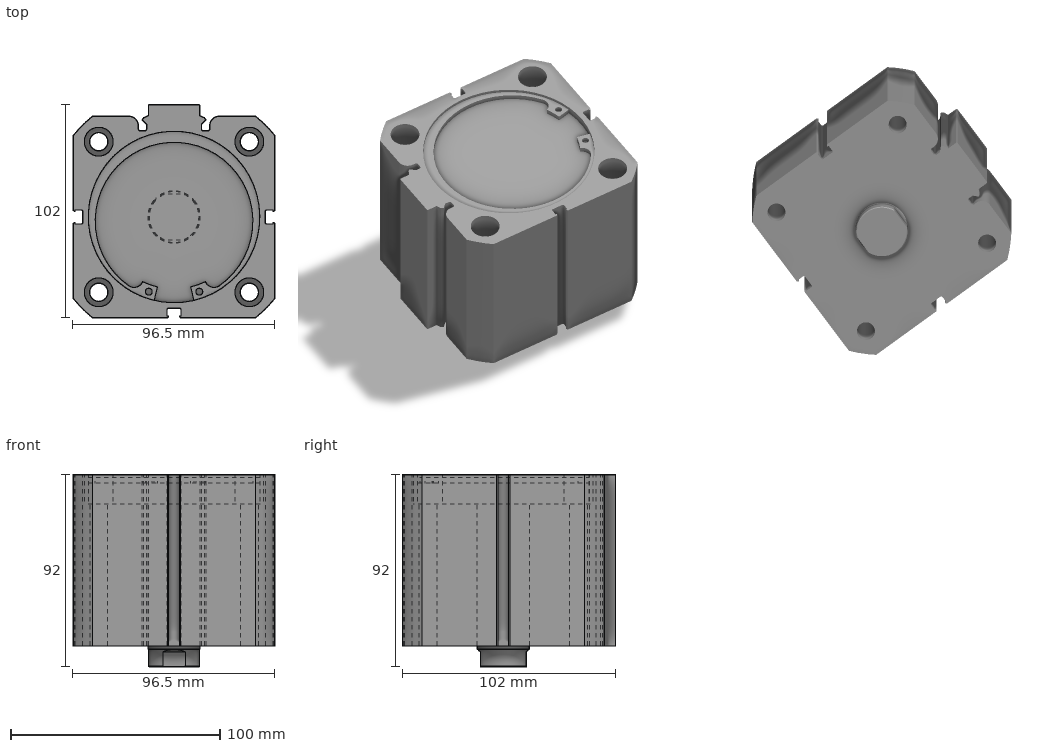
import cadquery as cq
import math

BODY_WIDTH = 96.5
BODY_HEIGHT = 82.0
CORNER_RADIUS = 62.0

RAIL_TOP = 53.75
RAIL_HALF_WIDTH = 12.3
RAIL_EDGE_RADIUS = 0.6
LIP_ROOT_Y = 48.5
LIP_UPPER_X = 14.5
LIP_UPPER_Y = 47.5
LIP_TIP_X = 15.3
LIP_TIP_Y = 46.4
RAIL_NECK_HALF_WIDTH = 13.15
RAIL_GROOVE_OUTER_X = 17.0
RAIL_GROOVE_FLOOR = 41.25
RAIL_GROOVE_CORNER_RADIUS = 0.8
GROOVE_FLOOR_MARGIN = 1.0
RAIL_SHOULDER_RADIUS = 4.75

SLOT_DEPTH = 4.6
SLOT_WIDTH = 6.6
SLOT_MOUTH_WIDTH = 5.2
SLOT_LIP = 1.0
SLOT_MOUTH_CHAMFER = 0.6
SLOT_CORNER_RADIUS = 0.6

BOLT_PITCH = 72.0
BOLT_HOLE_DIAMETER = 8.6
BOLT_SEAT_DIAMETER = 13.8
BOLT_SEAT_DEPTH = 14.0

BORE_DIAMETER = 82.0
RING_RECESS = 1.5
RING_THICKNESS = 2.5
RING_INNER_RADIUS = 37.7
RING_INNER_OFFSET = 2.0
LUG_INNER_RADIUS = 34.35
LUG_GAP_ANGLE = 13.4
LUG_HOLE_DIAMETER = 3.3
LUG_HOLE_ANGLE = 18.7
LUG_HOLE_PITCH_RADIUS = 37.7
LUG_HOLLOW_RADIUS = 4.4
LUG_HOLLOW_ANGLE = 35.0
GAP_OVERRUN = 3.0

COVER_THICKNESS = 10.0

ROD_DIAMETER = 25.0
ROD_TIP_DIAMETER = 24.5
ROD_PROJECTION = 10.0
ROD_SHOULDER_Z = -1.35
ROD_TIP_CHAMFER = 0.4
ROD_FLATS = 22.0

HALF_WIDTH = BODY_WIDTH / 2
BORE_RADIUS = BORE_DIAMETER / 2
RING_TOP = BODY_HEIGHT - RING_RECESS
COVER_TOP = RING_TOP - RING_THICKNESS
COVER_BOTTOM = COVER_TOP - COVER_THICKNESS
ROD_TAPER = (ROD_DIAMETER - ROD_TIP_DIAMETER) / 2
TAPER_END_Z = ROD_SHOULDER_Z - ROD_TAPER


def polar(radius, angle):
    """Point at an angle in degrees, measured from -Y toward +X."""
    turn = math.radians(angle)
    return radius * math.sin(turn), -radius * math.cos(turn)


def mirrored(point):
    """Mirror image of a point across the YZ plane."""
    return -point[0], point[1]


def cylinder(diameter, bottom, top):
    return cq.Workplane("XY").workplane(offset=bottom).circle(diameter / 2).extrude(top - bottom)


def block():
    """Square block whose corners follow a large circle about the bore axis."""
    square = cq.Workplane("XY").rect(BODY_WIDTH, BODY_WIDTH).extrude(BODY_HEIGHT)
    return square.intersect(cylinder(2 * CORNER_RADIUS, 0, BODY_HEIGHT))


def rail_clearance():
    """Room around the port rail: its two side grooves and the shoulders beside them."""
    shoulder_x = RAIL_GROOVE_OUTER_X + RAIL_SHOULDER_RADIUS
    shoulder_y = HALF_WIDTH - RAIL_SHOULDER_RADIUS
    diagonal = RAIL_SHOULDER_RADIUS * math.sqrt(0.5)
    shoulder_mid = (shoulder_x - diagonal, shoulder_y + diagonal)
    return (
        cq.Workplane("XY")
        .moveTo(0, RAIL_GROOVE_FLOOR)
        .lineTo(RAIL_GROOVE_OUTER_X, RAIL_GROOVE_FLOOR)
        .lineTo(RAIL_GROOVE_OUTER_X, shoulder_y)
        .threePointArc(shoulder_mid, (shoulder_x, HALF_WIDTH))
        .lineTo(0, HALF_WIDTH)
        .mirrorY()
        .extrude(BODY_HEIGHT)
    )


def port_rail():
    """Rail with a flared lip on each flank."""
    return (
        cq.Workplane("XY")
        .moveTo(0, RAIL_GROOVE_FLOOR)
        .lineTo(RAIL_NECK_HALF_WIDTH, RAIL_GROOVE_FLOOR)
        .lineTo(RAIL_NECK_HALF_WIDTH, LIP_TIP_Y - (LIP_TIP_X - RAIL_NECK_HALF_WIDTH))
        .lineTo(LIP_TIP_X, LIP_TIP_Y)
        .lineTo(LIP_UPPER_X, LIP_UPPER_Y)
        .lineTo(RAIL_HALF_WIDTH, LIP_ROOT_Y)
        .lineTo(RAIL_HALF_WIDTH, RAIL_TOP)
        .lineTo(0, RAIL_TOP)
        .mirrorY()
        .extrude(BODY_HEIGHT)
        .edges("|Z and >Y")
        .fillet(RAIL_EDGE_RADIUS)
    )


def sensor_slot(angle):
    """Undercut slot in the -Y face, turned about Z to another face."""
    pocket_depth = SLOT_DEPTH - SLOT_LIP
    pocket = (
        cq.Workplane("XY")
        .center(0, -HALF_WIDTH + SLOT_LIP + pocket_depth / 2)
        .rect(SLOT_WIDTH, pocket_depth)
        .extrude(BODY_HEIGHT)
        .edges("|Z and >Y")
        .fillet(SLOT_CORNER_RADIUS)
    )
    mouth_half_width = SLOT_MOUTH_WIDTH / 2
    mouth = (
        cq.Workplane("XY")
        .moveTo(0, -HALF_WIDTH)
        .lineTo(mouth_half_width + SLOT_MOUTH_CHAMFER, -HALF_WIDTH)
        .lineTo(mouth_half_width, -HALF_WIDTH + SLOT_MOUTH_CHAMFER)
        .lineTo(mouth_half_width, -HALF_WIDTH + SLOT_DEPTH / 2)
        .lineTo(0, -HALF_WIDTH + SLOT_DEPTH / 2)
        .mirrorY()
        .extrude(BODY_HEIGHT)
    )
    return pocket.union(mouth).rotate((0, 0, 0), (0, 0, 1), angle)


def round_groove_corners(housing):
    """Fillet the bottom corners of the two grooves beside the rail."""
    reach = RAIL_GROOVE_OUTER_X + GROOVE_FLOOR_MARGIN
    groove_floors = cq.selectors.BoxSelector(
        (-reach, RAIL_GROOVE_FLOOR - GROOVE_FLOOR_MARGIN, 0),
        (reach, RAIL_GROOVE_FLOOR + GROOVE_FLOOR_MARGIN, BODY_HEIGHT),
    )
    return housing.edges(groove_floors).edges("|Z").fillet(RAIL_GROOVE_CORNER_RADIUS)


def make_housing():
    housing = block().cut(rail_clearance()).union(port_rail())
    housing = round_groove_corners(housing)
    for angle in (-90, 0, 90):
        housing = housing.cut(sensor_slot(angle))
    housing = (
        housing.faces(">Z")
        .workplane(origin=(0, 0, BODY_HEIGHT))
        .rect(BOLT_PITCH, BOLT_PITCH, forConstruction=True)
        .vertices()
        .cboreHole(BOLT_HOLE_DIAMETER, BOLT_SEAT_DIAMETER, BOLT_SEAT_DEPTH)
    )
    housing = housing.cut(cylinder(BORE_DIAMETER, COVER_BOTTOM, BODY_HEIGHT))
    return housing.cut(cylinder(ROD_DIAMETER, 0, COVER_BOTTOM))


def make_cover():
    return cylinder(BORE_DIAMETER, COVER_BOTTOM, COVER_TOP)


def ring_opening():
    """Clear space inside the ring, which runs out between the two lugs."""
    hollow_x, hollow_y = polar(RING_INNER_RADIUS - LUG_HOLLOW_RADIUS, LUG_HOLLOW_ANGLE)
    hollow_y -= RING_INNER_OFFSET
    hollow_distance = math.hypot(hollow_x, hollow_y)
    tip_turn = math.acos(
        (hollow_distance**2 + LUG_INNER_RADIUS**2 - LUG_HOLLOW_RADIUS**2)
        / (2 * hollow_distance * LUG_INNER_RADIUS)
    )
    tip_angle = math.degrees(math.atan2(hollow_x, -hollow_y) - tip_turn)
    tip_x, tip_y = polar(LUG_INNER_RADIUS, tip_angle)
    tip_direction = math.degrees(math.atan2(tip_x - hollow_x, hollow_y - tip_y))
    dip_x, dip_y = polar(LUG_HOLLOW_RADIUS, (LUG_HOLLOW_ANGLE + tip_direction) / 2)
    hollow_end_x, hollow_end_y = polar(RING_INNER_RADIUS, LUG_HOLLOW_ANGLE)

    gap_outside = polar(BORE_RADIUS + GAP_OVERRUN, LUG_GAP_ANGLE)
    gap_inside = polar(LUG_INNER_RADIUS, LUG_GAP_ANGLE)
    lug_middle = polar(LUG_INNER_RADIUS, (LUG_GAP_ANGLE + tip_angle) / 2)
    lug_tip = (tip_x, tip_y)
    hollow_middle = (hollow_x + dip_x, hollow_y + dip_y)
    hollow_end = (hollow_end_x, hollow_end_y - RING_INNER_OFFSET)
    ring_top = (0, RING_INNER_RADIUS - RING_INNER_OFFSET)
    return (
        cq.Workplane("XY")
        .workplane(offset=COVER_TOP)
        .moveTo(*gap_outside)
        .lineTo(*gap_inside)
        .threePointArc(lug_middle, lug_tip)
        .threePointArc(hollow_middle, hollow_end)
        .threePointArc(ring_top, mirrored(hollow_end))
        .threePointArc(mirrored(hollow_middle), mirrored(lug_tip))
        .threePointArc(mirrored(lug_middle), mirrored(gap_inside))
        .lineTo(*mirrored(gap_outside))
        .close()
        .extrude(RING_THICKNESS)
    )


def make_snap_ring():
    ring = cylinder(BORE_DIAMETER, COVER_TOP, RING_TOP).cut(ring_opening())
    for angle in (-LUG_HOLE_ANGLE, LUG_HOLE_ANGLE):
        hole_x, hole_y = polar(LUG_HOLE_PITCH_RADIUS, angle)
        ring = ring.cut(cylinder(LUG_HOLE_DIAMETER, COVER_TOP, RING_TOP).translate((hole_x, hole_y, 0)))
    return ring


def flat_cutter(side):
    """Removes one wrench flat with a 45 degree run-out that starts at the end of the taper."""
    tip_radius = ROD_TIP_DIAMETER / 2
    flat_y = ROD_FLATS / 2
    return (
        cq.Workplane("YZ")
        .moveTo(side * flat_y, -ROD_PROJECTION)
        .lineTo(side * flat_y, TAPER_END_Z - (tip_radius - flat_y))
        .lineTo(side * tip_radius, TAPER_END_Z)
        .lineTo(side * tip_radius, -ROD_PROJECTION)
        .close()
        .extrude(tip_radius, both=True)
    )


def make_rod():
    tip = cylinder(ROD_TIP_DIAMETER, -ROD_PROJECTION, TAPER_END_Z).faces("<Z").chamfer(ROD_TIP_CHAMFER)
    shank = cylinder(ROD_DIAMETER, TAPER_END_Z, COVER_BOTTOM).faces("<Z").chamfer(ROD_TAPER)
    rod = shank.union(tip)
    return rod.cut(flat_cutter(-1)).cut(flat_cutter(1))


housing = make_housing()
cover = make_cover()
snap_ring = make_snap_ring()
rod = make_rod()

result = cq.Compound.makeCompound([housing.val(), cover.val(), snap_ring.val(), rod.val()])